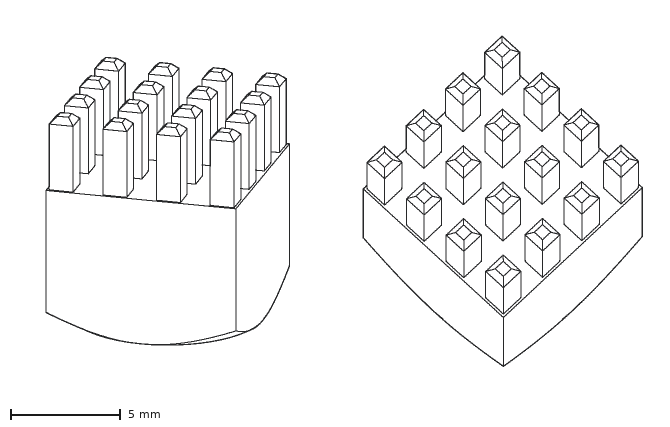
import cadquery as cq
import math

body_side = 9.0
body_height = 7.0
total_height = 10.5

bevel_angle = 30.0

pins_per_side = 4
pin_pitch = 2.54
pin_width = 1.13
tip_chamfer = 0.3


def make_body():
    """Square block whose underside is trimmed by a cone around a round flat."""
    block = cq.Workplane("XY").box(body_side, body_side, body_height, centered=(True, True, False))
    flat_radius = body_side / 2
    rim_radius = flat_radius + body_height / math.tan(math.radians(bevel_angle))
    trimming_cone = (
        cq.Workplane("XZ")
        .polyline([(0, 0), (flat_radius, 0), (rim_radius, body_height), (0, body_height)])
        .close()
        .revolve(360, (0, 0, 0), (0, 1, 0))
    )
    return block.intersect(trimming_cone)


def make_pins():
    """Square grid of square pins with chamfered tips, standing on the block."""
    return (
        cq.Workplane("XY", origin=(0, 0, body_height))
        .rarray(pin_pitch, pin_pitch, pins_per_side, pins_per_side)
        .rect(pin_width, pin_width)
        .extrude(total_height - body_height)
        .faces(">Z")
        .edges()
        .chamfer(tip_chamfer)
    )


result = make_body().union(make_pins())